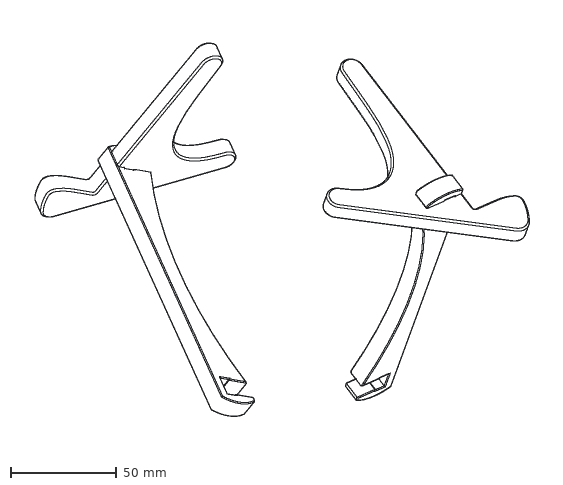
import cadquery as cq
import math


slope_angle = 55.0
slope_foot_y = 20.5
joint_z = 21.7
joint_x = 10.4

plate_thickness = 10.0
plate_chamfer = 1.0
plate_length = 98.9
end_radius = 5.8
toe_radius = 6.6
tip_radius = 6.0
tip_center_z = 83.6
valley_z = 9.4
valley_radius = 1.0
lip_height = 21.0
lip_face_radius = 28.0
crest_radius = 4.3
crest_angle = 12.0
brow_start_y = 18.8
arm_back_angle = 59.0
foot_top_angle = 1.0

bar_length = 164.5
bar_depth = 21.0
bar_thickness = 10.0
bar_waist = 9.9
bar_front_inset = 2.5
bar_back_inset = 3.3
bar_bulge_depth = 10.0
bar_corner_radius = 1.0
bar_chamfer = 0.5
slot_floor = 4.8
slot_step = 10.2
slot_width = plate_thickness
mouth_width = 9.0

slope = math.radians(slope_angle)


def slope_y(z):
    """Y of the sloped front edge at height z."""
    return slope_foot_y + z / math.tan(slope)


def direction(angle):
    """Unit vector (Y, Z) at an angle in degrees from +Y towards +Z."""
    a = math.radians(angle)
    return (math.cos(a), math.sin(a))


def make_side_plate():
    tip_y = slope_y(tip_center_z) + tip_radius / math.sin(slope)

    def tip_point(angle):
        """Point on the rounded top of the arm, angle in degrees from +Y."""
        along_y, along_z = direction(angle)
        return (tip_y + tip_radius * along_y, tip_center_z + tip_radius * along_z)

    tip_start = tip_point(slope_angle + 90)
    tip_end = tip_point(arm_back_angle - 90)
    foot_y = plate_length - end_radius
    normal_y, normal_z = direction(90 - foot_top_angle)
    foot_top = (foot_y + end_radius * normal_y, end_radius + end_radius * normal_z)

    crest_center_z = lip_height - crest_radius
    center_rise = crest_center_z - toe_radius
    crest_lean = math.asin(center_rise / (lip_face_radius - crest_radius))
    nose = (
        lip_face_radius * (1 - math.cos(crest_lean)),
        toe_radius + lip_face_radius * math.sin(crest_lean),
    )
    crest_center_y = nose[0] + crest_radius * math.cos(crest_lean)
    outward_y, outward_z = direction(90 - crest_angle)
    crest_end = (crest_center_y + crest_radius * outward_y, crest_center_z + crest_radius * outward_z)
    crest_direction = direction(-crest_angle)

    valley = (slope_y(valley_z), valley_z)
    into_slope = direction(slope_angle - 90)
    brow_start = (brow_start_y, valley_z + (valley[0] - brow_start_y) / math.tan(slope))

    hollow = [(76.2, 56.1), (70.3, 43.8), (67.5, 28.8), (71.3, 18.8), (79.0, 13.5), foot_top]
    arm_down = direction(arm_back_angle + 180)
    foot_out = direction(-foot_top_angle)

    outline = (
        cq.Workplane("YZ")
        .moveTo(*valley)
        .lineTo(*tip_start)
        .threePointArc(tip_point(slope_angle), tip_end)
        .spline(hollow, tangents=[arm_down, foot_out], includeCurrent=True)
        .threePointArc((plate_length, end_radius), (foot_y, 0))
        .lineTo(toe_radius, 0)
        .tangentArcPoint((0, toe_radius), relative=False)
        .tangentArcPoint(nose, relative=False)
        .tangentArcPoint(crest_end, relative=False)
        .spline([brow_start], tangents=[crest_direction, into_slope], includeCurrent=True)
        .close()
    )
    plate = outline.extrude(plate_thickness)
    valley_edge = cq.selectors.NearestToPointSelector((plate_thickness / 2, *valley))
    plate = plate.edges(valley_edge).fillet(valley_radius)
    plate = plate.faces("<X or >X").chamfer(plate_chamfer)
    return plate.translate((joint_x - plate_thickness / 2, 0, 0))


def make_cross_bar():
    underside_z = joint_z - bar_thickness / 2 * math.sin(slope)
    bar_plane = cq.Plane(
        origin=(0, slope_y(underside_z), underside_z),
        xDir=(1, 0, 0),
        normal=(0, *direction(slope_angle)),
    )
    mouth_inner = joint_x + mouth_width / 2
    mouth_outer = joint_x - mouth_width / 2
    slot_inner = joint_x + slot_width / 2
    slot_outer = joint_x - slot_width / 2

    near_slot = [
        (mouth_inner, bar_depth),
        (mouth_inner, slot_step),
        (slot_inner, slot_step),
        (slot_inner, slot_floor),
        (slot_outer, slot_floor),
        (slot_outer, slot_step),
        (mouth_outer, slot_step),
        (mouth_outer, bar_depth),
    ]
    far_slot = [(bar_length - x, depth) for x, depth in reversed(near_slot)]

    front_corners = [(bar_front_inset, 0), (bar_length - bar_front_inset, 0)]
    back_corners = [(bar_back_inset, bar_depth), (bar_length - bar_back_inset, bar_depth)]

    bar = (
        cq.Workplane(bar_plane)
        .moveTo(*front_corners[0])
        .lineTo(*front_corners[1])
        .threePointArc((bar_length, bar_bulge_depth), back_corners[1])
        .polyline(far_slot, includeCurrent=True)
        .threePointArc((bar_length / 2, bar_waist), near_slot[0])
        .polyline(near_slot[1:], includeCurrent=True)
        .lineTo(*back_corners[0])
        .threePointArc((0, bar_bulge_depth), front_corners[0])
        .close()
        .extrude(bar_thickness)
    )
    for corner in front_corners + back_corners:
        edge_middle = bar_plane.toWorldCoords((*corner, bar_thickness / 2))
        corner_edge = cq.selectors.NearestToPointSelector(edge_middle.toTuple())
        bar = bar.edges(corner_edge).fillet(bar_corner_radius)
    broad_faces = cq.selectors.ParallelDirSelector(bar_plane.zDir)
    return bar.faces(broad_faces).chamfer(bar_chamfer)


cross_bar = make_cross_bar()
side_plate = make_side_plate().cut(cross_bar)
result = cq.Compound.makeCompound([side_plate.solids().val(), cross_bar.val()])